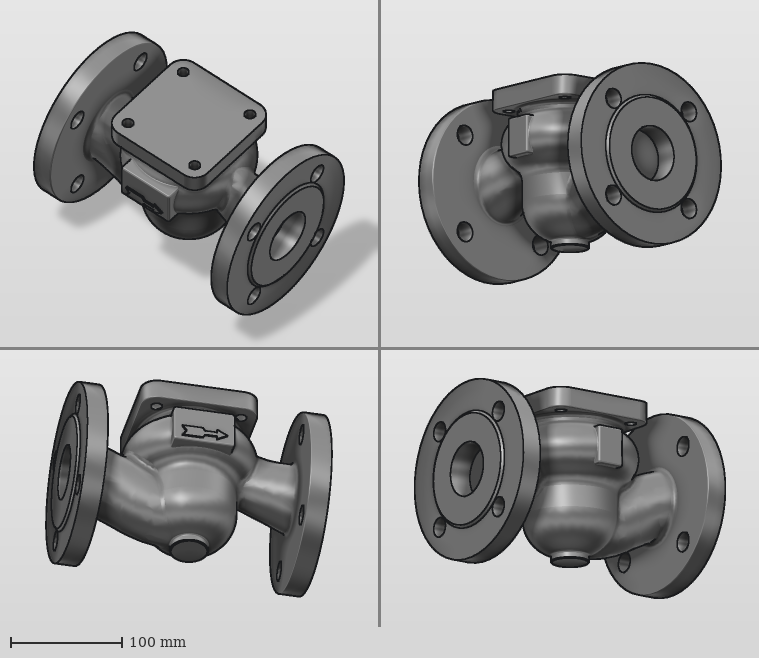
import cadquery as cq
import math

total_length = 230.0
half_length = total_length / 2

flange_diameter = 165.0
flange_thickness = 19.3
flange_rim_fillet = 1.2
face_height = 2.3
face_base_radius = 53.5
face_top_radius = 51.0
bore_diameter = 50.0
bore_depth = flange_thickness + face_height
bolt_hole_diameter = 18.0
bolt_hole_offset = 44.5
flange_back = half_length - face_height - flange_thickness

plate_side = 107.2
plate_top = 76.4
plate_bottom = 58.0
plate_corner_radius = 15.2
plate_edge_fillet = 1.4
plate_hole_diameter = 10.1
plate_hole_offset = 38.9

neck_radius = 94.0 / 2
neck_fillet = 4.1
shoulder_fillet = 3.0
bulge_centre_radius = 36.3
bulge_centre_height = 26.5
bulge_radius = 25.3
bowl_radius = 43.0
bowl_top = -7.8
bowl_straight_end = -27.8
bowl_corner_radius = 35.5
drain_radius = 17.2
drain_bottom = -69.0
drain_fillet = 2.3
drain_chamfer = 1.0

pad_width = 56.1
pad_top = 44.5
pad_bottom = 8.7
pad_reach = 62.0
pad_fillet = 2.3
pad_foot_fillet = 1.2
rear_pad_width = 26.7

arrow_height = 1.5
arrow_centre_height = 18.0
arrow_half_width = 5.0
shaft_half_width = 2.0
arrow_half_length = 20.7
arrow_notch_x = -16.8
arrow_tail_end_x = -1.8
shaft_start_x = 0.2
arrow_head_x = 11.3

inlet_sections = [
    (-flange_back - 2.3, -2.3, 32.7, 33.1, 0),
    (-74.8, -9.2, 30.5, 31.3, 12),
    (-44.8, -24.4, 29.5, 30.4, 22),
    (0, -32.7, 27.4, 29.5, 0),
]
outlet_sections = [
    (flange_back + 2.3, 1.8, 30.4, 33.1, 0),
    (81.5, 7.0, 28.0, 29.7, 10),
    (69.5, 10.4, 25.3, 28.3, 18),
    (39.0, 23.5, 21.8, 25.3, 20),
]
branch_flange_fillet = 4.5
branch_body_fillet = 5.8

touch_tolerance = 0.002


def make_body():
    """Revolve the neck, bulge, waist and bowl about Z."""
    drop = bulge_centre_height - bowl_top
    step = bowl_radius - bulge_centre_radius
    waist_radius = (step**2 + drop**2 - bulge_radius**2) / (2 * (bulge_radius - step))
    waist_centre = bowl_radius + waist_radius
    waist_angle = math.atan2(drop, waist_centre - bulge_centre_radius)
    waist_start = (
        waist_centre - waist_radius * math.cos(waist_angle),
        bowl_top + waist_radius * math.sin(waist_angle),
    )
    waist_mid = (
        waist_centre - waist_radius * math.cos(waist_angle / 2),
        bowl_top + waist_radius * math.sin(waist_angle / 2),
    )
    bulge_start_height = bulge_centre_height + math.sqrt(
        bulge_radius**2 - (neck_radius - bulge_centre_radius) ** 2
    )
    bowl_corner_centre = bowl_radius - bowl_corner_radius
    bowl_bottom = bowl_straight_end - bowl_corner_radius
    half_chord = bowl_corner_radius * math.sqrt(0.5)
    return (
        cq.Workplane("XZ")
        .moveTo(0, plate_bottom)
        .lineTo(neck_radius + neck_fillet, plate_bottom)
        .radiusArc((neck_radius, plate_bottom - neck_fillet), -neck_fillet)
        .lineTo(neck_radius, bulge_start_height)
        .threePointArc((bulge_centre_radius + bulge_radius, bulge_centre_height), waist_start)
        .threePointArc(waist_mid, (bowl_radius, bowl_top))
        .lineTo(bowl_radius, bowl_straight_end)
        .threePointArc(
            (bowl_corner_centre + half_chord, bowl_straight_end - half_chord),
            (bowl_corner_centre, bowl_bottom),
        )
        .lineTo(0, bowl_bottom)
        .close()
        .revolve(360, (0, 0, 0), (0, 1, 0))
        .edges(cq.selectors.NearestToPointSelector((0, 0, bulge_start_height)))
        .fillet(shoulder_fillet)
    )


def make_branch(sections):
    """Loft a pipe branch through tilted elliptical sections."""
    wires = []
    for x, z, half_width, half_height, tilt in sections:
        angle = math.radians(tilt)
        normal = cq.Vector(math.cos(angle), 0, -math.sin(angle))
        wires.append(
            cq.Wire.makeEllipse(
                half_height, half_width, cq.Vector(x, 0, z), normal,
                cq.Vector(math.sin(angle), 0, math.cos(angle)), closed=True,
            )
        )
    return cq.Workplane(cq.Solid.makeLoft(wires))


def make_flange():
    """Flange on the -X end with its raised face, without holes."""
    rim = flange_diameter / 2
    outer_face = -half_length + face_height
    return (
        cq.Workplane("XZ")
        .moveTo(-half_length, 0)
        .lineTo(-half_length, face_top_radius)
        .lineTo(outer_face, face_base_radius)
        .lineTo(outer_face, rim)
        .lineTo(-flange_back, rim)
        .lineTo(-flange_back, 0)
        .close()
        .revolve(360, (0, 0, 0), (1, 0, 0))
        .faces(">X")
        .edges()
        .fillet(flange_rim_fillet)
    )


def make_flange_holes():
    """Blind bore and four bolt holes of the -X flange."""
    start = cq.Workplane("YZ", origin=(-half_length, 0, 0))
    bore = start.circle(bore_diameter / 2).extrude(bore_depth)
    bolts = (
        start.rect(2 * bolt_hole_offset, 2 * bolt_hole_offset, forConstruction=True)
        .vertices()
        .circle(bolt_hole_diameter / 2)
        .extrude(bore_depth + branch_flange_fillet)
    )
    return bore.union(bolts)


def make_plate():
    """Square bonnet plate with rounded corners."""
    return (
        cq.Workplane("XY", origin=(0, 0, plate_bottom))
        .rect(plate_side, plate_side)
        .extrude(plate_top - plate_bottom)
        .edges("|Z")
        .fillet(plate_corner_radius)
        .faces("<Z")
        .edges()
        .fillet(plate_edge_fillet)
    )


def make_plate_holes():
    """Four bolt holes through the corners of the bonnet plate."""
    return (
        cq.Workplane("XY", origin=(0, 0, plate_bottom))
        .rect(2 * plate_hole_offset, 2 * plate_hole_offset, forConstruction=True)
        .vertices()
        .circle(plate_hole_diameter / 2)
        .extrude(plate_top - plate_bottom)
    )


def make_drain_boss():
    """Short round boss under the bowl."""
    return (
        cq.Workplane("XY", origin=(0, 0, drain_bottom))
        .circle(drain_radius)
        .extrude(bowl_straight_end - drain_bottom)
        .faces("<Z")
        .chamfer(drain_chamfer)
    )


def make_pad(width, side):
    """Rounded rectangular pad from the body axis out to side * pad_reach along Y."""
    outer = ">Y" if side > 0 else "<Y"
    height = pad_top - pad_bottom
    return (
        cq.Workplane("XY")
        .box(width, pad_reach, height)
        .translate((0, side * pad_reach / 2, pad_bottom + height / 2))
        .edges("|Y")
        .fillet(pad_fillet)
        .faces(outer)
        .edges()
        .fillet(pad_fillet * 0.9)
    )


def make_arrow():
    """Flow arrow pointing to +X, raised on the front pad."""
    upper = [
        (-arrow_half_length, arrow_half_width),
        (arrow_tail_end_x, arrow_half_width),
        (shaft_start_x, shaft_half_width),
        (arrow_head_x, shaft_half_width),
        (arrow_head_x, arrow_half_width),
    ]
    lower = [(x, -z) for x, z in reversed(upper)]
    outline = upper + [(arrow_half_length, 0)] + lower + [(arrow_notch_x, 0)]
    return (
        cq.Workplane("XZ", origin=(0, -pad_reach, arrow_centre_height))
        .polyline(outline)
        .close()
        .extrude(arrow_height)
    )


def blend(first, second, radius):
    """Join two solids and fillet the edges where their surfaces meet."""

    def meets_both(edge):
        point = cq.Vertex.makeVertex(*edge.positionAt(0.4).toTuple())
        return all(
            min(face.distance(point) for face in solid.faces().vals()) < touch_tolerance
            for solid in (first, second)
        )

    joined = first.union(second)
    return joined.edges().filter(meets_both).fillet(radius)


valve = blend(make_body(), make_branch(inlet_sections), branch_body_fillet)
valve = blend(valve, make_branch(outlet_sections), branch_body_fillet)
valve = blend(valve, make_drain_boss(), drain_fillet)

inlet_flange = make_flange()
outlet_flange = inlet_flange.mirror("YZ")
valve = blend(valve, inlet_flange, branch_flange_fillet)
valve = blend(valve, outlet_flange, branch_flange_fillet)
valve = valve.union(make_plate())
valve = blend(valve, make_pad(pad_width, -1), pad_foot_fillet)
valve = blend(valve, make_pad(rear_pad_width, 1), pad_foot_fillet)
valve = valve.union(make_arrow())

inlet_holes = make_flange_holes()
valve = valve.cut(inlet_holes)
valve = valve.cut(inlet_holes.mirror("YZ"))
result = valve.cut(make_plate_holes())